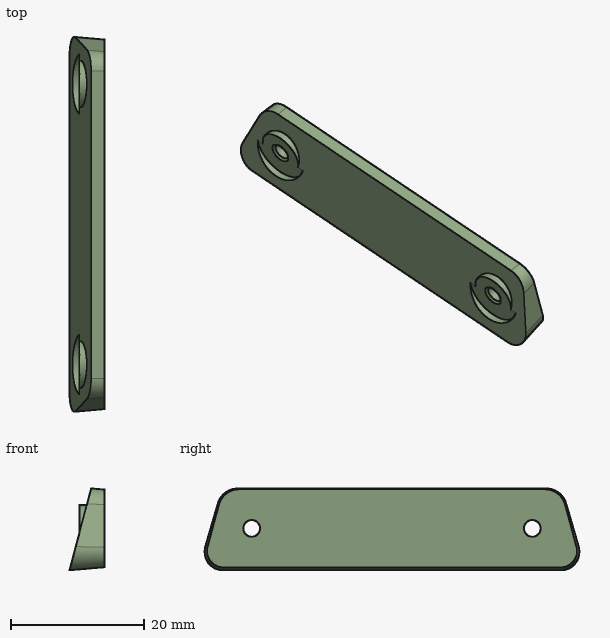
import cadquery as cq
import math

depth = 5.3
height = 12.3
top_thickness = 2.0
draft_angle = 5.0
draft = math.tan(math.radians(draft_angle))

back_bottom = depth * draft
back_top = height - top_thickness * draft
back_bottom_half_width = 28.45
end_angle = 15.0
bottom_corner_radius = 2.4
top_corner_radius = 3.0

seat_spacing = 42.05
seat_height = 6.3
seat_plane = -3.75
boss_diameter = 7.0
pocket_diameter = 9.0
hole_diameter = 2.5
hole_mouth_diameter = 3.15
mouth_depth = (hole_mouth_diameter - hole_diameter) / 2


def drafted_block():
    """Trapezoid with rounded corners, widening from the back towards the front."""
    end_lean = (back_top - back_bottom) * math.tan(math.radians(end_angle))
    back_top_half_width = back_bottom_half_width - end_lean
    outline = (
        cq.Sketch()
        .polygon([
            (-back_bottom_half_width, back_bottom),
            (back_bottom_half_width, back_bottom),
            (back_top_half_width, back_top),
            (-back_top_half_width, back_top),
            (-back_bottom_half_width, back_bottom),
        ])
        .vertices("<Y")
        .fillet(bottom_corner_radius)
        .reset()
        .vertices(">Y")
        .fillet(top_corner_radius)
    )
    back_plane = cq.Plane(origin=(0, 0, 0), xDir=(0, -1, 0), normal=(-1, 0, 0))
    return cq.Workplane(back_plane).placeSketch(outline).extrude(depth, taper=-draft_angle)


def wedge():
    """Side profile that gives the front face its slope, longer than the block."""
    length = 4 * back_bottom_half_width
    return (
        cq.Workplane("XZ")
        .polyline([(0, 0), (-depth, 0), (-top_thickness, height), (0, height)])
        .close()
        .extrude(length / 2, both=True)
    )


def seat_cylinder(diameter, start_x, end_x, y):
    """Cylinder along X, on the axis of the seat at the given Y."""
    return (
        cq.Workplane("YZ", origin=(start_x, y, seat_height))
        .circle(diameter / 2)
        .extrude(end_x - start_x)
    )


def add_seat(body, y):
    """Vertical screw seat: sunk below the slope at the bottom, raised at the top."""
    pocket = seat_cylinder(pocket_diameter, -depth, seat_plane, y)
    boss = seat_cylinder(boss_diameter, seat_plane, -top_thickness, y)
    hole = seat_cylinder(hole_diameter, -depth, 0, y)
    mouth = (
        cq.Workplane("YZ", origin=(seat_plane, y, seat_height))
        .circle(hole_mouth_diameter / 2)
        .workplane(offset=mouth_depth)
        .circle(hole_diameter / 2)
        .loft(ruled=True)
    )
    return body.cut(pocket).union(boss).cut(hole).cut(mouth)


result = drafted_block().intersect(wedge())
for side in (-1, 1):
    result = add_seat(result, side * seat_spacing / 2)